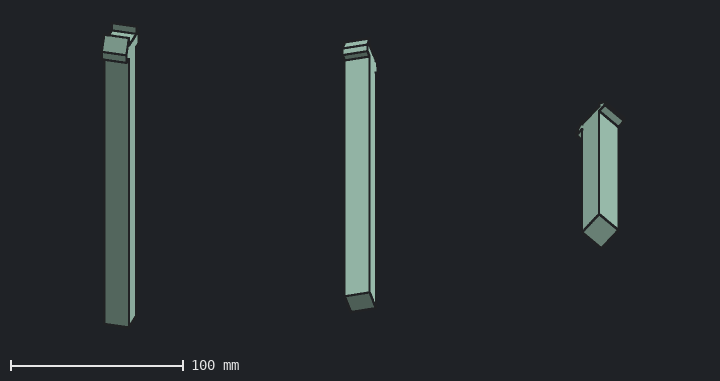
import cadquery as cq

total_height = 190.0
stem_width = 15.0
head_width = 25.0

shoulder_drop = 8.7
notch_depth = 5.0
underside_drop = 13.7

half_stem = stem_width / 2
half_head = head_width / 2
shoulder_z = total_height - shoulder_drop
notch_z = total_height - notch_depth
underside_z = total_height - underside_drop

half_profile = [
    (half_stem, 0),
    (half_stem, underside_z),
    (half_head, underside_z),
    (half_head, shoulder_z),
    (half_stem, total_height),
    (half_stem, notch_z),
]
mirrored_half = [(-y, z) for y, z in reversed(half_profile)]

result = (
    cq.Workplane("YZ")
    .polyline(half_profile + mirrored_half)
    .close()
    .extrude(half_stem, both=True)
)